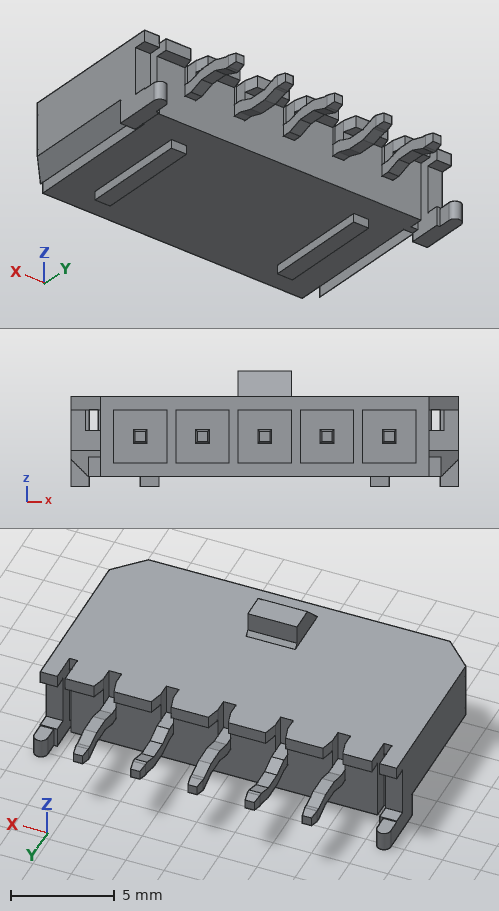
import cadquery as cq


housing_width = 18.65
housing_bottom = 0.48
housing_top = 4.35
roof_end = 9.88
back_wall = 9.18
wall = 0.65
half_width = housing_width / 2
roof_bottom = housing_top - wall
mid_z = (housing_bottom + housing_top) / 2

contact_count = 5
row_length = 11.97
pitch = row_length / (contact_count - 1)
pocket_size = housing_top - housing_bottom - 2 * wall
pocket_depth = 7.46
contact_xs = [i * pitch - row_length / 2 for i in range(contact_count)]

pin_size = 0.65
pin_tip_size = 0.48
pin_front = 2.8
pin_end = 13.07
tip_length = 0.5
bend_start = 9.65
bend_flat_start = 10.48
bend_flat_end = 11.55
bend_end = 12.38
bend_outer_rise = 0.25
bend_inner_rise = 0.3

notch_front = 8.5
notch_mouth_width = 1.05

corner_cut = 1.44
recess_bottom = 1.73
channel_top = 1.44
edge_bevel = 0.84
channel_outer_x = half_width - edge_bevel
channel_inner_x = half_width - corner_cut
window_outer_x = 8.62
window_bottom = 2.7

leg_front = 7.98
leg_width = 0.9
leg_top = 1.06
post_width = 0.7
post_top = 1.0
post_end = 10.97
slot_width = 0.41
slot_front = 8.4
slot_outer_x = half_width - leg_width

foot_x = 5.54
foot_width = 0.91
foot_front = 1.68
foot_back = 7.68

latch_width = 2.57
latch_top = 5.58
latch_front = 0.78
latch_back = 3.28
latch_heel = 0.22
latch_height = latch_top - housing_top


def box(x0, x1, y0, y1, z0, z1):
    """Box between two corners."""
    return cq.Workplane("XY").box(x1 - x0, y1 - y0, z1 - z0, centered=False).translate((x0, y0, z0))


def prism(points, z0, z1):
    """Closed XY outline raised from z0 to z1."""
    return cq.Workplane("XY").workplane(offset=z0).polyline(points).close().extrude(z1 - z0)


def side_prism(points, x, width):
    """Closed YZ outline given a width in X, centred on x."""
    return cq.Workplane("YZ").workplane(offset=x - width / 2).polyline(points).close().extrude(width)


def both_sides(body):
    """The body together with its mirror image across the YZ plane."""
    return body.union(body.mirror("YZ"))


def make_shell():
    """Block with an overhanging roof and cut front corners."""
    core = box(-half_width, half_width, 0, back_wall, housing_bottom, housing_top)
    roof = box(-half_width, half_width, 0, roof_end, roof_bottom, housing_top)
    corner = prism(
        [(half_width, 0), (half_width, corner_cut), (half_width - corner_cut, 0)],
        housing_bottom,
        housing_top,
    )
    return core.union(roof).cut(both_sides(corner))


def make_edge_bevels():
    """45 degree cuts along the lower side edges, ending at the legs."""
    bevel = (
        cq.Workplane("XZ")
        .moveTo(half_width, housing_bottom)
        .lineTo(half_width, housing_bottom + edge_bevel)
        .lineTo(half_width - edge_bevel, housing_bottom)
        .close()
        .extrude(-leg_front)
    )
    return both_sides(bevel)


def make_corner_cuts():
    """Recess, window to the rear slot, and lower channel of each front corner."""
    recess = box(channel_inner_x, half_width, 0, corner_cut, recess_bottom, roof_bottom)
    window = box(channel_inner_x, window_outer_x, 0, slot_front, window_bottom, roof_bottom)
    channel = box(channel_inner_x, channel_outer_x, 0, leg_front, housing_bottom, channel_top)
    return both_sides(recess.union(window).union(channel))


def make_rear_slots():
    """Slots that free the legs from the middle of the housing."""
    slot = box(slot_outer_x - slot_width, slot_outer_x, slot_front, roof_end, housing_bottom, housing_top)
    return both_sides(slot)


def make_legs():
    """Legs at the rear corners, each with a round-ended post."""
    leg = box(slot_outer_x, half_width, leg_front, roof_end, 0, leg_top)
    post_radius = post_width / 2
    post_inner_x = half_width - post_width
    post = (
        cq.Workplane("XY")
        .moveTo(post_inner_x, leg_front)
        .lineTo(half_width, leg_front)
        .lineTo(half_width, post_end - post_radius)
        .threePointArc((half_width - post_radius, post_end), (post_inner_x, post_end - post_radius))
        .close()
        .extrude(post_top)
    )
    return both_sides(leg.union(post))


def make_feet():
    """Two long feet under the housing."""
    half_foot = foot_width / 2
    return both_sides(box(foot_x - half_foot, foot_x + half_foot, foot_front, foot_back, 0, housing_bottom))


def make_latch():
    """Ramp with a 45 degree front and a small sloped heel."""
    profile = [
        (latch_front, housing_top),
        (latch_front + latch_height, latch_top),
        (latch_back, latch_top),
        (latch_back, housing_top + latch_heel),
        (latch_back + latch_heel, housing_top),
    ]
    return side_prism(profile, 0, latch_width)


def make_contact_cut(x):
    """Mating pocket, pin hole and the flared notch above the pin."""
    half_pocket = pocket_size / 2
    half_pin = pin_size / 2
    half_mouth = notch_mouth_width / 2
    pin_top = mid_z + half_pin
    pocket = box(x - half_pocket, x + half_pocket, 0, pocket_depth, mid_z - half_pocket, mid_z + half_pocket)
    hole = box(x - half_pin, x + half_pin, pocket_depth, back_wall, mid_z - half_pin, pin_top)
    notch = box(x - half_pin, x + half_pin, notch_front, back_wall, pin_top, housing_top)
    flare = prism(
        [
            (x - half_pin, back_wall),
            (x + half_pin, back_wall),
            (x + half_mouth, roof_end),
            (x - half_mouth, roof_end),
        ],
        roof_bottom,
        housing_top,
    )
    return pocket.union(hole).union(notch).union(flare)


def make_housing():
    housing = make_shell().cut(make_edge_bevels()).cut(make_corner_cuts())
    housing = housing.union(make_legs()).cut(make_rear_slots())
    housing = housing.union(make_feet()).union(make_latch())
    for x in contact_xs:
        housing = housing.cut(make_contact_cut(x))
    return housing


def make_pin_tip(x, y_base, direction):
    """Tapered square end pointing along +Y (direction 1) or -Y (direction -1)."""
    plane = cq.Plane(origin=(x, y_base, mid_z), xDir=(1, 0, 0), normal=(0, direction, 0))
    return (
        cq.Workplane(plane)
        .rect(pin_size, pin_size)
        .workplane(offset=tip_length)
        .rect(pin_tip_size, pin_tip_size)
        .loft(ruled=True)
    )


def make_pin(x, bend):
    """Square pin whose tail is kinked upward (bend 1) or downward (bend -1)."""
    outer = mid_z + bend * pin_size / 2
    inner = mid_z - bend * pin_size / 2
    shaft_front = pin_front + tip_length
    shaft_end = pin_end - tip_length
    shaft = side_prism(
        [
            (shaft_front, outer),
            (bend_start, outer),
            (bend_flat_start, outer + bend * bend_outer_rise),
            (bend_flat_end, outer + bend * bend_outer_rise),
            (bend_end, outer),
            (shaft_end, outer),
            (shaft_end, inner),
            (bend_end, inner),
            (bend_flat_end, inner + bend * bend_inner_rise),
            (bend_flat_start, inner + bend * bend_inner_rise),
            (bend_start, inner),
            (shaft_front, inner),
        ],
        x,
        pin_size,
    )
    return shaft.union(make_pin_tip(x, shaft_front, -1)).union(make_pin_tip(x, shaft_end, 1))


housing = make_housing()

pins = []
for index, x in enumerate(contact_xs):
    bend = 1 if index % 2 == 0 else -1
    pins.append(make_pin(x, bend))

result = cq.Compound.makeCompound([housing.val(), *[pin.val() for pin in pins]])